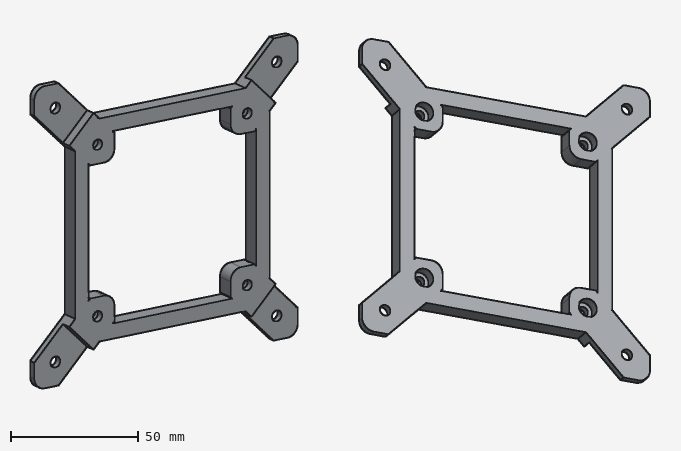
import cadquery as cq

size = 125.0
thickness = 7.5
frame_outer = 92.2
frame_inner = 79.5

arm_inner_corner = 27.5
arm_outer_corner = size / 2
arm_offset = 11.5
arm_corner_radius = 5.0
arm_tip_thickness = 3.0
step_reach = 86.4

tip_hole_position = 52.5
tip_hole_diameter = 4.5
root_hole_position = 35.5
root_hole_diameter = 4.2
counterbore_diameter = 7.8
counterbore_floor = arm_tip_thickness
counterbore_depth = thickness - counterbore_floor


def frame():
    """Square ring whose outer corners are bevelled flush with the arm steps."""
    bevel = frame_outer - step_reach
    outer = cq.Workplane("YZ").rect(frame_outer, frame_outer).extrude(thickness)
    opening = cq.Workplane("YZ").rect(frame_inner, frame_inner).extrude(thickness)
    return outer.edges("|X").chamfer(bevel).cut(opening)


def arm_blank(height):
    """Bar along the +Y +Z diagonal with square ends whose corners are rounded."""
    inner = arm_inner_corner
    outer = arm_outer_corner
    outline = [
        (inner, inner),
        (inner + arm_offset, inner),
        (outer, outer - arm_offset),
        (outer, outer),
        (outer - arm_offset, outer),
        (inner, inner + arm_offset),
    ]
    blank = cq.Workplane("YZ").polyline(outline).close().extrude(height)
    for corner in (inner, outer):
        corner_edge = cq.selectors.NearestToPointSelector((height / 2, corner, corner))
        blank = blank.edges(corner_edge).fillet(arm_corner_radius)
    return blank


def arm():
    """Arm with a full-thickness root and a thin tip, stepped square to the diagonal."""
    root_region = (
        cq.Workplane("YZ")
        .polyline([(0, 0), (step_reach, 0), (0, step_reach)])
        .close()
        .extrude(thickness)
    )
    root = arm_blank(thickness).intersect(root_region)
    return arm_blank(arm_tip_thickness).union(root)


def bore(position, diameter, depth):
    """Cylinder along X, opening on the x = 0 face and centred on the arm."""
    return cq.Workplane("YZ").center(position, position).circle(diameter / 2).extrude(depth)


def arm_holes():
    """Cutting tool for all the holes of one arm."""
    tip_hole = bore(tip_hole_position, tip_hole_diameter, thickness)
    root_hole = bore(root_hole_position, root_hole_diameter, thickness)
    counterbore = bore(root_hole_position, counterbore_diameter, counterbore_depth)
    return tip_hole.union(root_hole).union(counterbore)


result = frame()
for angle in (0, 90, 180, 270):
    turned_arm = arm().rotate((0, 0, 0), (1, 0, 0), angle)
    turned_holes = arm_holes().rotate((0, 0, 0), (1, 0, 0), angle)
    result = result.union(turned_arm).cut(turned_holes)